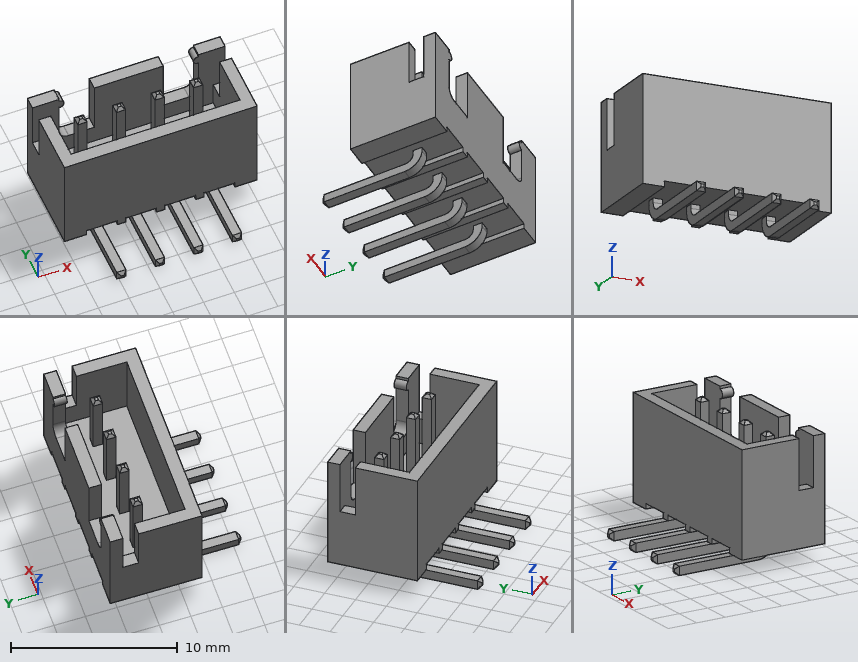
import cadquery as cq

housing_width = 12.52
housing_depth = 5.82
housing_height = 7.0
front_wall = 0.83
back_wall = 0.8
side_wall = 0.78
floor_thickness = 2.0

slit_width = 1.0
slit_depth = 3.29

latch_width = 1.74
centre_panel_width = 4.48
window_depth = 3.7
window_fillet = 0.61
bump_radius = 0.31
bump_drop = 0.49

pin_count = 4
pin_pitch = 2.5
pin_row_offset = -0.06
pin_size = 0.6
tip_size = 0.2
tip_length = 0.2
pin_top_drop = 0.19
pin_back_distance = 2.47
bend_inner_radius = 0.58
pin_drop = 1.1
pin_reach = 3.23

notch_pitch = 2.54
notch_width = 2.0
notch_height = 0.36

back_face = housing_depth
cavity_back = back_face - back_wall
bump_z = housing_height - bump_drop
window_bottom = housing_height - window_depth
latch_edge = housing_width / 2 - latch_width
window_inner = centre_panel_width / 2
pin_y = back_face - pin_back_distance


def row_places(pitch):
    """X places of a row of pin_count items centred on x = 0."""
    return [(i - (pin_count - 1) / 2) * pitch for i in range(pin_count)]


def box(x_range, y_range, z_range):
    """Axis-aligned box between the given limits."""
    (x0, x1), (y0, y1), (z0, z1) = x_range, y_range, z_range
    return cq.Workplane("XY").box(x1 - x0, y1 - y0, z1 - z0, centered=False).translate((x0, y0, z0))


def make_shell():
    """Open-topped housing with the latch slits cut through both side walls."""
    half_width = housing_width / 2
    half_cavity = half_width - side_wall
    shell = box((-half_width, half_width), (0, back_face), (0, housing_height))
    cavity = box((-half_cavity, half_cavity), (front_wall, cavity_back), (floor_thickness, housing_height))
    slits = box(
        (-half_width, half_width),
        (cavity_back - slit_width, cavity_back),
        (housing_height - slit_depth, housing_height),
    )
    return shell.cut(cavity).cut(slits)


def make_window():
    """Window on the +X side, rounded in the lower corner beside the latch."""
    window = box((window_inner, latch_edge), (cavity_back, back_face), (window_bottom, housing_height))
    return window.edges("|Y and >X and <Z").fillet(window_fillet)


def make_bump():
    """Round catch along the inner edge of the +X latch."""
    return (
        cq.Workplane("XZ", origin=(latch_edge, back_face, bump_z))
        .circle(bump_radius)
        .extrude(back_wall)
    )


def make_notches():
    """Shallow notches running front to back across the underside."""
    notches = cq.Workplane("XY")
    for x in row_places(notch_pitch):
        notches = notches.add(
            box((x - notch_width / 2, x + notch_width / 2), (0, back_face), (0, notch_height))
        )
    return notches


def make_tip(plane):
    """Four-sided taper at a pin end, standing on the given plane."""
    return (
        cq.Workplane(plane)
        .rect(pin_size, pin_size)
        .workplane(offset=tip_length)
        .rect(tip_size, tip_size)
        .loft(ruled=True)
    )


def make_pin():
    """Square pin that runs down, bends and leaves toward the front, on x = 0."""
    bend_radius = bend_inner_radius + pin_size / 2
    leg_z = pin_size / 2 - pin_drop
    post_top = housing_height - pin_top_drop - tip_length
    leg_end = tip_length - pin_reach
    post_plane = cq.Plane(origin=(0, pin_y, post_top), xDir=(1, 0, 0), normal=(0, 0, 1))
    leg_plane = cq.Plane(origin=(0, leg_end, leg_z), xDir=(1, 0, 0), normal=(0, -1, 0))
    path = (
        cq.Workplane("YZ")
        .moveTo(pin_y, post_top)
        .lineTo(pin_y, leg_z + bend_radius)
        .tangentArcPoint((pin_y - bend_radius, leg_z), relative=False)
        .lineTo(leg_end, leg_z)
    )
    bar = cq.Workplane(post_plane).rect(pin_size, pin_size).sweep(path)
    return bar.union(make_tip(post_plane)).union(make_tip(leg_plane))


def with_mirror(feature):
    """The given +X feature together with its mirror copy on the -X side."""
    return feature.union(feature.mirror("YZ"))


result = make_shell().cut(make_notches())
result = result.cut(with_mirror(make_window()))
result = result.union(with_mirror(make_bump()))

pin = make_pin()
for x in row_places(pin_pitch):
    result = result.union(pin.translate((x + pin_row_offset, 0, 0)))